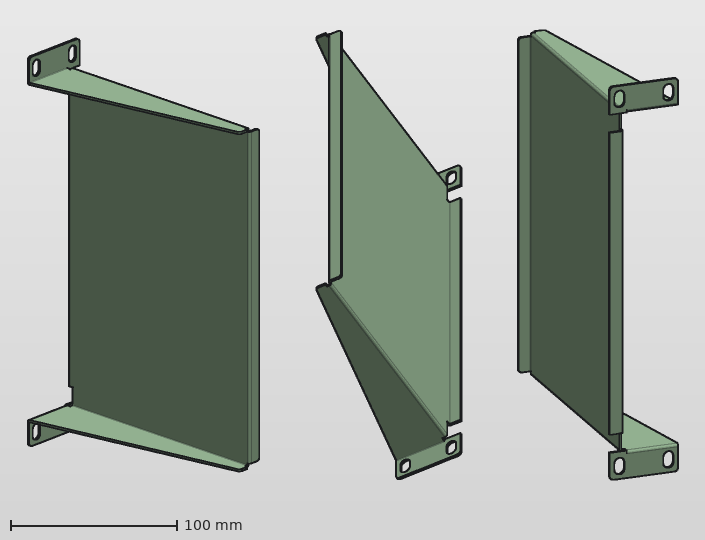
import cadquery as cq

length = 150.0
depth = 44.4
height = 252.0

sheet = 1.5
inner_bend = 0.3
outer_bend = inner_bend + sheet

lip_depth = 9.0
plate_back = depth - lip_depth
front_lip_height = 193.5
rear_lip_height = 214.7
lip_corner = 2.0
plate_front = 4.0

ear_height = 17.6
ear_corner = 2.5
flange_inner_z = height / 2 - ear_height
flange_outer_z = flange_inner_z + sheet
flange_front_top = 33.3
flange_rear_bottom = 27.0
flange_corner = 2.0
relief_bottom = 33.8

hole_width = 6.5
hole_length = 10.5
hole_edge_distance = 6.3
hole_z = 117.7


def angle_strip(x_dir, normal, corner, extent, leg_1, leg_2):
    """An L-shaped bend whose outer corner is at corner, with legs along local X and Y."""
    plane = cq.Plane(origin=corner, xDir=x_dir, normal=normal)
    return (
        cq.Workplane(plane)
        .moveTo(outer_bend, 0)
        .lineTo(leg_1, 0)
        .lineTo(leg_1, sheet)
        .lineTo(outer_bend, sheet)
        .radiusArc((sheet, outer_bend), inner_bend)
        .lineTo(sheet, leg_2)
        .lineTo(0, leg_2)
        .lineTo(0, outer_bend)
        .radiusArc((outer_bend, 0), -outer_bend)
        .close()
        .extrude(extent)
    )


def box(x_range, y_range, z_range):
    """An axis-aligned block between the given limits."""
    (x0, x1), (y0, y1), (z0, z1) = x_range, y_range, z_range
    return cq.Workplane("XY").box(x1 - x0, y1 - y0, z1 - z0, centered=False).translate((x0, y0, z0))


def make_plate():
    """Flat plate, stopping where its bends begin."""
    return box(
        (plate_front, length - outer_bend),
        (plate_back, plate_back + sheet),
        (-flange_outer_z + outer_bend, flange_outer_z - outer_bend),
    )


def make_front_lip():
    """Lip folded from the front edge of the plate."""
    corner = (0, plate_back, -front_lip_height / 2)
    return angle_strip((1, 0, 0), (0, 0, 1), corner, front_lip_height, plate_front, lip_depth)


def make_rear_lip():
    """Lip folded from the rear edge, with rounded free corners."""
    corner = (length, plate_back, rear_lip_height / 2)
    lip = angle_strip((-1, 0, 0), (0, 0, -1), corner, rear_lip_height, 2 * outer_bend, lip_depth)
    return lip.faces(">Y").edges("|X").fillet(lip_corner)


def make_upper_flange():
    """Tapered flange, bent from the plate and trimmed to its sloping edge."""
    outer_y = plate_back + sheet
    flange = angle_strip(
        (0, 0, -1), (-1, 0, 0), (length, outer_y, flange_outer_z), length, 2 * outer_bend, outer_y
    )
    outline = (
        cq.Workplane("XY")
        .workplane(offset=flange_inner_z - 2 * outer_bend)
        .polyline([
            (outer_bend, 0),
            (length, flange_rear_bottom),
            (length, relief_bottom),
            (length - outer_bend, relief_bottom),
            (length - outer_bend, outer_y),
            (plate_front, outer_y),
            (plate_front, flange_front_top),
            (outer_bend, flange_front_top),
        ])
        .close()
        .extrude(ear_height)
    )
    rear_corner = cq.selectors.NearestToPointSelector((length, flange_rear_bottom, flange_inner_z))
    outline = outline.edges("|Z").edges(rear_corner).fillet(flange_corner)
    return flange.intersect(outline)


def make_upper_ear():
    """Slotted mounting ear with its bend into the flange."""
    ear = box((0, sheet), (0, depth), (flange_inner_z, height / 2))
    ear = ear.faces(">Z").edges("|X").fillet(ear_corner)
    ear = ear.cut(box((0, sheet), (0, flange_front_top), (flange_inner_z, flange_inner_z + outer_bend)))
    bend = angle_strip(
        (1, 0, 0), (0, -1, 0), (0, flange_front_top, flange_inner_z),
        flange_front_top, outer_bend + sheet, 2 * outer_bend,
    )
    bend = bend.intersect(box((0, outer_bend), (0, depth), (0, height)))
    holes = (
        cq.Workplane("YZ")
        .pushPoints([(hole_edge_distance, hole_z), (depth - hole_edge_distance, hole_z)])
        .slot2D(hole_length, hole_width, 90)
        .extrude(sheet)
    )
    return ear.union(bend).cut(holes)


upper_side = make_upper_flange().union(make_upper_ear())
lower_side = upper_side.mirror("XY")
result = make_plate()
for folded_piece in (make_front_lip(), make_rear_lip(), upper_side, lower_side):
    result = result.union(folded_piece)